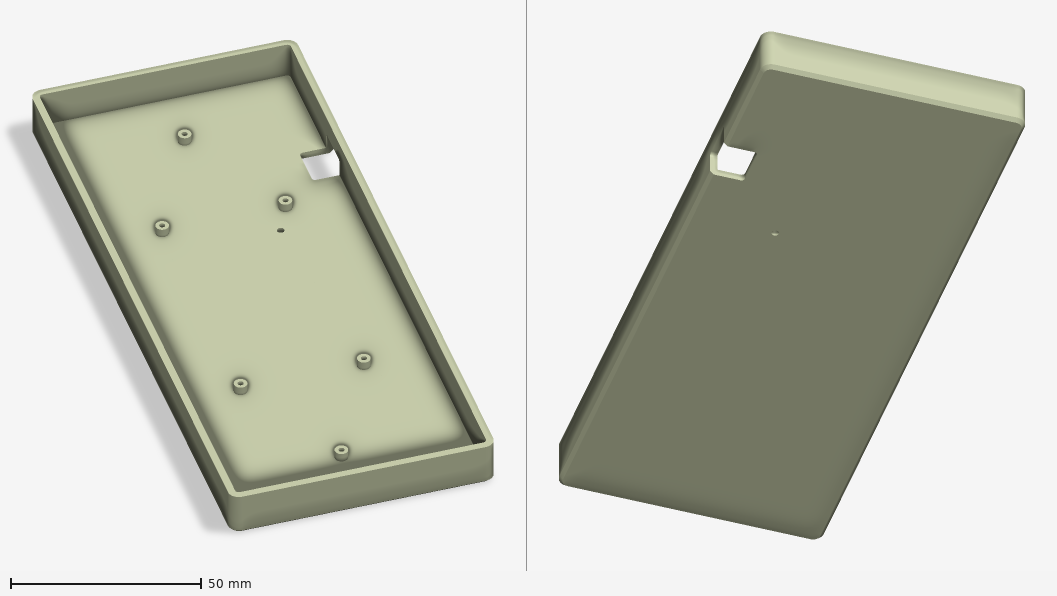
import cadquery as cq

key_pitch = 17.0
columns = 10
rows = 4

board_clearance = 0.6
wall = 2.0
floor = 2.0
height = 12.5
corner_radius = 3.0
bottom_chamfer = 1.0

cavity_length = columns * key_pitch + 2 * board_clearance
cavity_width = rows * key_pitch + 2 * board_clearance
length = cavity_length + 2 * wall
width = cavity_width + 2 * wall
cavity_corner_radius = corner_radius - wall

standoff_diameter = 3.6
standoff_height = 2.5
screw_hole_diameter = 1.6
outer_standoff_x = 4 * key_pitch
inner_standoff_x = 2 * key_pitch
inner_standoff_y = key_pitch
standoff_points = [(side * outer_standoff_x, 0) for side in (-1, 1)]
for x_side in (-1, 1):
    for y_side in (-1, 1):
        standoff_points.append((x_side * inner_standoff_x, y_side * inner_standoff_y))

opening_center_x = -48.25
opening_width = 11.7
opening_depth = 7.4
opening_top = 7.0
opening_corner_radius = 1.0

access_hole_diameter = 2.0
access_hole_x = -1.5 * key_pitch
access_hole_y = 13.0


def make_tray():
    """Open box with rounded corners and a chamfered bottom edge."""
    outer = cq.Workplane("XY").box(length, width, height, centered=(True, True, False))
    outer = outer.edges("|Z").fillet(corner_radius)
    outer = outer.faces("<Z").edges().chamfer(bottom_chamfer)
    cavity = (
        cq.Workplane("XY", origin=(0, 0, floor))
        .box(cavity_length, cavity_width, height - floor, centered=(True, True, False))
        .edges("|Z")
        .fillet(cavity_corner_radius)
    )
    return outer.cut(cavity)


def add_standoffs(body):
    """Round posts on the floor, each drilled down to the floor surface."""
    posts = (
        cq.Workplane("XY", origin=(0, 0, floor))
        .pushPoints(standoff_points)
        .circle(standoff_diameter / 2)
        .circle(screw_hole_diameter / 2)
        .extrude(standoff_height)
    )
    return body.union(posts)


def make_opening():
    """Cutter for the connector opening, rounded at its upper and floor corners."""
    cut_length = opening_depth + wall
    return (
        cq.Workplane("XY", origin=(opening_center_x, width / 2 - cut_length / 2, 0))
        .box(opening_width, cut_length, opening_top, centered=(True, True, False))
        .edges("|Z and <Y")
        .fillet(opening_corner_radius)
        .edges("|Y and >Z")
        .fillet(opening_corner_radius)
    )


def make_access_hole():
    """Cutter for the small round hole through the floor."""
    return (
        cq.Workplane("XY")
        .center(access_hole_x, access_hole_y)
        .circle(access_hole_diameter / 2)
        .extrude(floor)
    )


result = add_standoffs(make_tray()).cut(make_opening()).cut(make_access_hole())